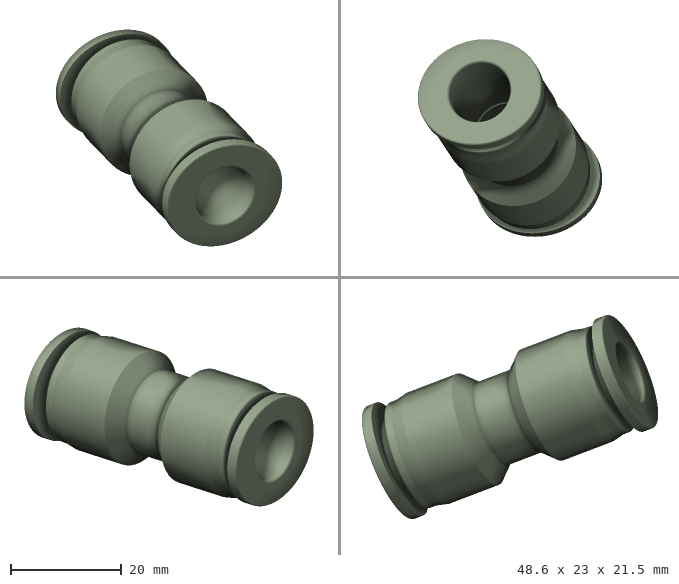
import cadquery as cq

length = 48.6
half_length = length / 2

flange_width = 23.0
flange_height = 20.4
flange_thickness = 2.1
flange_edge_radius = 0.35

neck_diameter = 14.8
collar_diameter = 20.4
barrel_diameter = 21.5
waist_diameter = 16.0

collar_start = 3.95
taper_start = 5.5
barrel_start = 7.85
barrel_end = 17.9
waist_start = 20.9
collar_edge_radius = 0.35

socket_diameter = 11.3
bore_diameter = 10.8
socket_depth = waist_start
socket_mouth_radius = 0.5


def make_half_body():
    """Turn the left half of the body, from the flange to the middle plane."""
    neck_radius = neck_diameter / 2
    collar_radius = collar_diameter / 2
    barrel_radius = barrel_diameter / 2
    waist_radius = waist_diameter / 2
    profile = (
        cq.Workplane("XY")
        .moveTo(-half_length + flange_thickness / 2, 0)
        .lineTo(-half_length + flange_thickness / 2, neck_radius)
        .lineTo(-half_length + collar_start, neck_radius)
        .lineTo(-half_length + collar_start, collar_radius - collar_edge_radius)
        .radiusArc((-half_length + collar_start + collar_edge_radius, collar_radius), collar_edge_radius)
        .lineTo(-half_length + taper_start, collar_radius)
        .lineTo(-half_length + barrel_start, barrel_radius)
        .lineTo(-half_length + barrel_end, barrel_radius)
        .lineTo(-half_length + waist_start, waist_radius)
        .lineTo(0, waist_radius)
        .lineTo(0, 0)
        .close()
    )
    return profile.revolve(360, (0, 0, 0), (1, 0, 0))


def make_flange():
    """Oval flange at the left end, wider in Y, with a rounded outer edge."""
    return (
        cq.Workplane("YZ", origin=(-half_length, 0, 0))
        .ellipse(flange_width / 2, flange_height / 2)
        .extrude(flange_thickness)
        .faces("<X")
        .edges()
        .fillet(flange_edge_radius)
    )


def make_socket():
    """Cutter for the left tube socket, with a rounded mouth."""
    socket_radius = socket_diameter / 2
    return (
        cq.Workplane("XY")
        .moveTo(-half_length, 0)
        .lineTo(-half_length, socket_radius + socket_mouth_radius)
        .radiusArc((-half_length + socket_mouth_radius, socket_radius), -socket_mouth_radius)
        .lineTo(-half_length + socket_depth, socket_radius)
        .lineTo(-half_length + socket_depth, 0)
        .close()
        .revolve(360, (0, 0, 0), (1, 0, 0))
    )


left_half = make_half_body().union(make_flange()).cut(make_socket())
through_bore = (
    cq.Workplane("YZ", origin=(-half_length, 0, 0))
    .circle(bore_diameter / 2)
    .extrude(length)
)
result = left_half.union(left_half.mirror("YZ")).cut(through_bore)